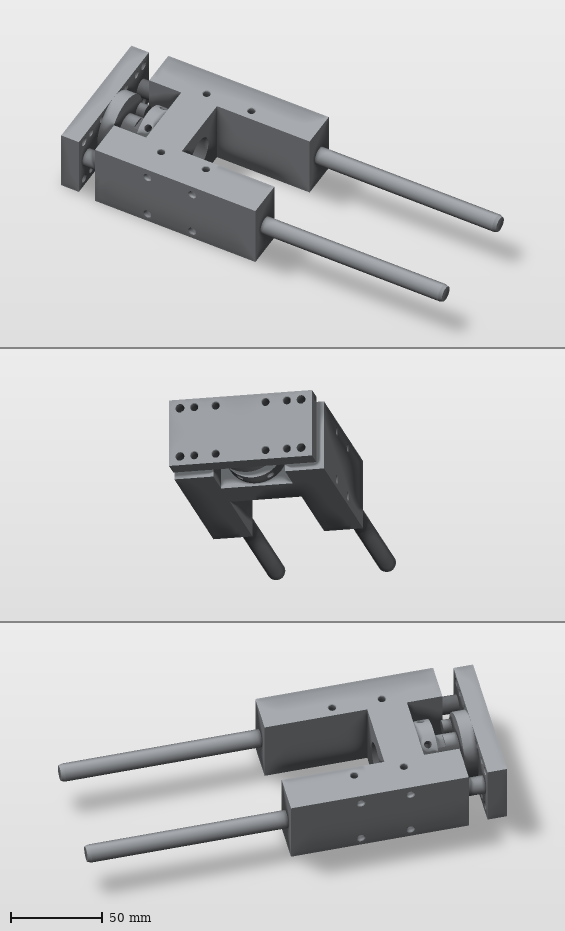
import cadquery as cq
import math


plate_thickness = 11.0
plate_width = 80.1
plate_height = 38.0

overall_length = 235.0
housing_start = 22.0
housing_length = 100.0
housing_width = 84.0
housing_height = 39.0
housing_bottom = -plate_height / 2
housing_middle = housing_bottom + housing_height / 2
pocket_width = 40.2
front_pocket_depth = 20.0
bridge_thickness = 22.3
bridge_start = housing_start + front_pocket_depth
bridge_end = bridge_start + bridge_thickness

rod_diameter = 10.0
rod_spacing = 62.0
rod_tip_length = 2.0
rod_tip_inset = 0.7

collar_diameter = 35.0
collar_thickness = 9.9
collar_front = bridge_start - collar_thickness
bore_diameter = 20.5
spanner_hole_diameter = 4.2
spanner_hole_count = 6

flange_diameter = 38.0
flange_thickness = 7.5
flange_back = plate_thickness + flange_thickness
stub_diameter = 16.0
stub_insertion = 1.5
stub_end = collar_front + stub_insertion
flat_length = 7.5
across_flats = 13.0
screw_head_diameter = 8.5
screw_head_height = 5.0
screw_spacing = 30.5

thread_diameter = 4.2
thread_mouth_diameter = 5.0
thread_mouth_depth = (thread_mouth_diameter - thread_diameter) / 2
thread_depth = 9.5
drill_point_angle = 118.0
plain_hole_diameter = 5.0
hole_pitch = 28.0
mounting_hole_offset = 32.7
top_hole_spacing = 52.0
plate_outer_spacing = 68.0
plate_middle_spacing = 52.0
plate_inner_spacing = 28.0


def cylinder_x(start, length, diameter, y=0.0, z=0.0):
    """Cylinder along +X that starts at the given X."""
    return cq.Workplane("YZ", origin=(start, y, z)).circle(diameter / 2).extrude(length)


def block_x(start, end, width, height, z=0.0):
    """Box between two X positions, centred on Y = 0 and on the given Z."""
    return cq.Workplane("YZ", origin=(start, 0, z)).rect(width, height).extrude(end - start)


def threaded_hole():
    """Blind drilled hole along -Z with a 45 degree chamfered mouth at the origin."""
    radius = thread_diameter / 2
    point_depth = radius / math.tan(math.radians(drill_point_angle / 2))
    profile = [
        (0, 0),
        (thread_mouth_diameter / 2, 0),
        (radius, -thread_mouth_depth),
        (radius, -thread_depth),
        (0, -thread_depth - point_depth),
    ]
    return cq.Workplane("XZ").polyline(profile).close().revolve(360, (0, 0), (0, 1))


def make_rod(y):
    """Guide rod from the back of the plate, with a tapered far end."""
    rod = cylinder_x(plate_thickness, overall_length - plate_thickness, rod_diameter, y)
    return rod.faces(">X").chamfer(rod_tip_length, rod_tip_inset)


def make_stub():
    """Round coupling stub with two wrench flats at its free end."""
    stub = cylinder_x(flange_back, stub_end - flange_back, stub_diameter)
    flat_start = stub_end - flat_length
    ring = block_x(flat_start, stub_end, stub_diameter, stub_diameter)
    core = block_x(flat_start, stub_end, stub_diameter, across_flats)
    return stub.cut(ring.cut(core))


def drill_plate(plate):
    """Plain outer holes and chamfered threaded holes, all through the plate."""
    for z in (-hole_pitch / 2, hole_pitch / 2):
        for side in (-1, 1):
            y = side * plate_outer_spacing / 2
            plate = plate.cut(cylinder_x(0, plate_thickness, plain_hole_diameter, y, z))
            for spacing in (plate_middle_spacing, plate_inner_spacing):
                y = side * spacing / 2
                hole = cylinder_x(0, plate_thickness, thread_diameter, y, z)
                mouth = cq.Solid.makeCone(
                    thread_mouth_diameter / 2,
                    thread_diameter / 2,
                    thread_mouth_depth,
                    pnt=cq.Vector(0, y, z),
                    dir=cq.Vector(1, 0, 0),
                )
                plate = plate.cut(hole).cut(cq.Workplane(mouth))
    return plate


def make_yoke():
    """Front plate with its guide rods and coupling."""
    yoke = drill_plate(block_x(0, plate_thickness, plate_width, plate_height))
    yoke = yoke.union(cylinder_x(plate_thickness, flange_thickness, flange_diameter))
    yoke = yoke.union(make_stub())
    for side in (-1, 1):
        yoke = yoke.union(make_rod(side * rod_spacing / 2))
        head = cylinder_x(flange_back, screw_head_height, screw_head_diameter, side * screw_spacing / 2)
        yoke = yoke.union(head)
    return yoke


def make_collar():
    """Collar with evenly spaced radial spanner holes, two of them along Y."""
    collar = cylinder_x(collar_front, collar_thickness, collar_diameter)
    middle = collar_front + collar_thickness / 2
    hole = (
        cq.Workplane("XY", origin=(middle, 0, 0))
        .circle(spanner_hole_diameter / 2)
        .extrude(collar_diameter / 2)
    )
    step = 360 / spanner_hole_count
    for index in range(spanner_hole_count):
        collar = collar.cut(hole.rotate((0, 0, 0), (1, 0, 0), (index + 0.5) * step))
    return collar


def drill_housing(housing):
    """Four threaded holes in the top and four in each long side."""
    top = housing_bottom + housing_height
    for index in range(2):
        x = housing_start + mounting_hole_offset + index * hole_pitch
        for side in (-1, 1):
            top_hole = threaded_hole().translate((x, side * top_hole_spacing / 2, top))
            housing = housing.cut(top_hole)
            side_hole = threaded_hole().rotate((0, 0, 0), (1, 0, 0), -side * 90)
            for z in (-hole_pitch / 2, hole_pitch / 2):
                housing = housing.cut(side_hole.translate((x, side * housing_width / 2, z)))
    return housing


def make_housing():
    """H-shaped block with rod bores and the collar on its bridge, bored through with the bridge."""
    housing_end = housing_start + housing_length
    housing = block_x(housing_start, housing_end, housing_width, housing_height, housing_middle)
    for start, end in ((housing_start, bridge_start), (bridge_end, housing_end)):
        housing = housing.cut(block_x(start, end, pocket_width, housing_height, housing_middle))
    for side in (-1, 1):
        rod_bore = cylinder_x(housing_start, housing_length, rod_diameter, side * rod_spacing / 2)
        housing = housing.cut(rod_bore)
    housing = drill_housing(housing).union(make_collar())
    return housing.cut(cylinder_x(collar_front, bridge_end - collar_front, bore_diameter))


yoke = make_yoke().solids()
housing = make_housing().solids()
result = cq.Compound.makeCompound([yoke.val(), housing.val()])